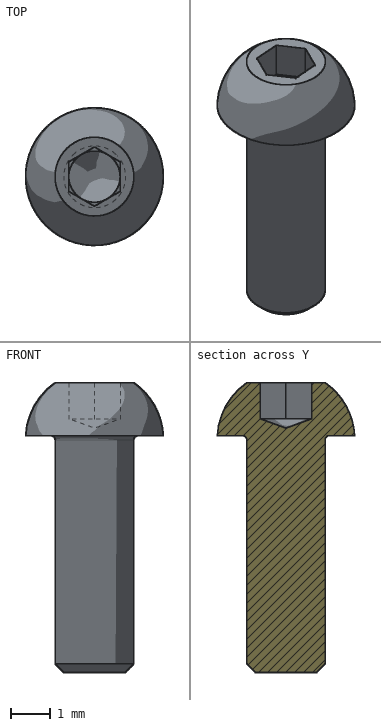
import cadquery as cq
import math

shank_diameter = 2.0
shank_length = 6.0
head_diameter = 3.5
head_height = 1.35
head_flat_diameter = 2.0
neck_fillet = 0.1
tip_chamfer = 0.2165
socket_sides = 6
socket_across_flats = 1.3
socket_depth = 0.91
socket_cone_half_angle = 70.0

shank_radius = shank_diameter / 2
head_radius = head_diameter / 2
head_flat_radius = head_flat_diameter / 2


def make_body():
    """Revolve the half profile of the domed head, filleted neck and chamfered shank."""
    dome_center_z = (head_flat_radius**2 + head_height**2 - head_radius**2) / (2 * head_height)
    dome_radius = math.hypot(head_radius, dome_center_z)
    dome_mid_z = head_height / 2
    dome_mid_radius = math.sqrt(dome_radius**2 - (dome_mid_z - dome_center_z) ** 2)
    return (
        cq.Workplane("XZ")
        .moveTo(0, -shank_length)
        .lineTo(shank_radius - tip_chamfer, -shank_length)
        .lineTo(shank_radius, -shank_length + tip_chamfer)
        .lineTo(shank_radius, -neck_fillet)
        .radiusArc((shank_radius + neck_fillet, 0), neck_fillet)
        .lineTo(head_radius, 0)
        .threePointArc((dome_mid_radius, dome_mid_z), (head_flat_radius, head_height))
        .lineTo(0, head_height)
        .close()
        .revolve(360, (0, 0, 0), (0, 1, 0))
    )


def make_socket():
    """Hexagonal recess with flats facing +/-X, ending in a conical drill point."""
    half_side_angle = 180 / socket_sides
    across_corners = socket_across_flats / math.cos(math.radians(half_side_angle))
    floor_z = head_height - socket_depth
    hexagon = (
        cq.Workplane("XY")
        .workplane(offset=floor_z)
        .transformed(rotate=(0, 0, half_side_angle))
        .polygon(socket_sides, across_corners)
        .extrude(socket_depth)
    )
    cone_radius = socket_across_flats / 2
    cone_depth = cone_radius / math.tan(math.radians(socket_cone_half_angle))
    drill_point = cq.Workplane(
        cq.Solid.makeCone(
            cone_radius, 0, cone_depth, pnt=cq.Vector(0, 0, floor_z), dir=cq.Vector(0, 0, -1)
        )
    )
    return hexagon.union(drill_point)


result = make_body().cut(make_socket())